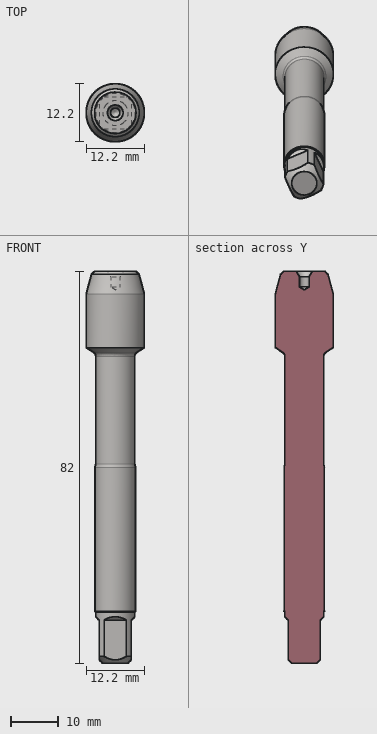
import cadquery as cq
import math

length = 82.0

head_dia = 12.2
cone_top_dia = 10.0
tip_dia = 8.7
neck_dia = 8.2
shank_dia = 8.5
tail_dia = 8.2

tip_chamfer_height = 0.65
cone_height = 4.1
cylinder_height = 11.2
shoulder_height = 1.3
tip_z = length - tip_chamfer_height
cone_z = tip_z - cone_height
head_bottom_z = cone_z - cylinder_height
neck_top_z = head_bottom_z - shoulder_height
neck_fillet = 0.8
corner_band = 0.2

shank_top_z = 41.0
shank_lead_in = 0.7
shank_bottom_z = 10.9
shank_chamfer = (shank_dia - tail_dia) / 2

square_width = 6.7
square_height = 9.0
flat_depth = (tail_dia - square_width) / 2
tail_chamfer = 1.5

hole_dia = 2.0
hole_depth = 3.3
countersink_dia = 3.3
countersink_angle = 60.0
drill_point_angle = 120.0


def make_body():
    """Revolve the stepped outline, then round the corner between head and neck."""
    outline = [
        (0, 0),
        (tail_dia / 2 - tail_chamfer, 0),
        (tail_dia / 2, tail_chamfer),
        (tail_dia / 2, shank_bottom_z - shank_chamfer),
        (shank_dia / 2, shank_bottom_z),
        (shank_dia / 2, shank_top_z),
        (neck_dia / 2, shank_top_z + shank_lead_in),
        (neck_dia / 2, neck_top_z),
        (head_dia / 2, head_bottom_z),
        (head_dia / 2, cone_z),
        (cone_top_dia / 2, tip_z),
        (tip_dia / 2, length),
        (0, length),
    ]
    body = cq.Workplane("XZ").polyline(outline).close().revolve(360, (0, 0), (0, 1))
    corner = cq.selectors.BoxSelector(
        (-neck_dia, -neck_dia, neck_top_z - corner_band),
        (neck_dia, neck_dia, neck_top_z + corner_band),
    )
    return body.edges(corner).fillet(neck_fillet)


def make_flat_cutter():
    """Wedge-ended block that cuts the flat on the +X side, with a 45 degree run-out."""
    inner_x = square_width / 2
    outer_x = inner_x + 2 * flat_depth
    profile = [
        (inner_x, 0),
        (outer_x, 0),
        (outer_x, square_height + outer_x - inner_x),
        (inner_x, square_height),
    ]
    return cq.Workplane("XZ").polyline(profile).close().extrude(tail_dia / 2, both=True)


def make_center_hole():
    """Drilled hole with a conical bottom and a countersunk mouth."""
    point_depth = hole_dia / 2 / math.tan(math.radians(drill_point_angle / 2))
    sink_depth = (countersink_dia - hole_dia) / 2 / math.tan(math.radians(countersink_angle / 2))
    profile = [
        (0, length),
        (countersink_dia / 2, length),
        (hole_dia / 2, length - sink_depth),
        (hole_dia / 2, length - hole_depth),
        (0, length - hole_depth - point_depth),
    ]
    return cq.Workplane("XZ").polyline(profile).close().revolve(360, (0, 0), (0, 1))


result = make_body().cut(make_center_hole())
for angle in (0, 90, 180, 270):
    result = result.cut(make_flat_cutter().rotate((0, 0, 0), (0, 0, 1), angle))